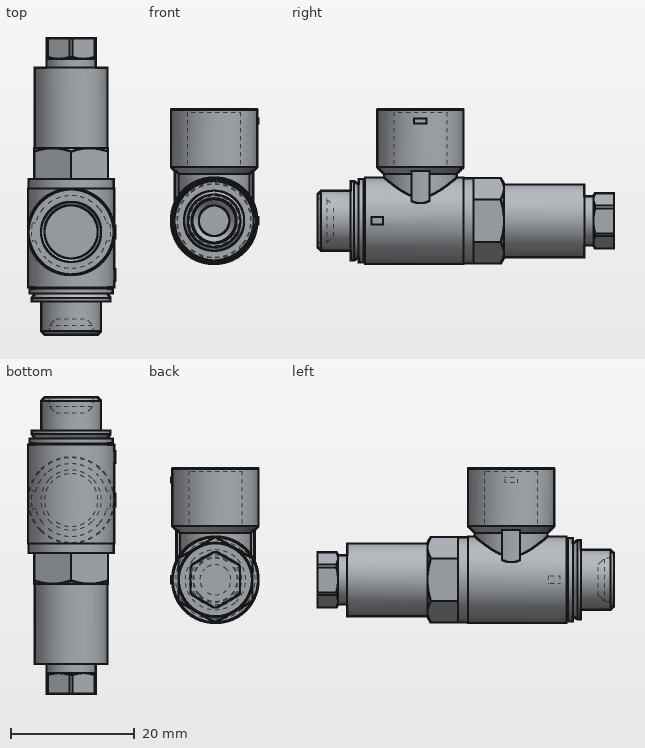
import cadquery as cq
import math

total_length = 47.95
front_end = -16.65
back_end = front_end + total_length

body_diameter = 14.0
collar_diameter = 13.8
washer_diameter = 13.5
flange_diameter = 12.8
groove_diameter = 11.8
spigot_diameter = 9.75
barrel_diameter = 11.8
neck_diameter = 8.0

flange_front = front_end + 5.35
flange_cone_start = flange_front + 0.58
washer_front = front_end + 6.65
washer_back = front_end + 7.5
body_front = front_end + 7.65
body_back = body_diameter / 2
collar_back = body_back + 1.6
large_hex_back = collar_back + 4.95
barrel_back = back_end - 4.8
small_hex_front = back_end - 3.35
spigot_chamfer = 0.6

large_hex_flats = 12.0
small_hex_flats = 8.0
small_hex_corner_diameter = 8.95
hex_chamfer_angle = 30.0

bore_diameter = 7.0
bore_floor_diameter = 4.95
bore_edge_chamfer = 0.15
bore_straight_depth = 1.55
bore_depth = 2.6

branch_diameter = 14.0
branch_top = 18.1
branch_shoulder = 8.7
branch_neck_diameter = 11.8
branch_cone_bottom = branch_shoulder - (branch_diameter - branch_neck_diameter) / 2
branch_edge_chamfer = 0.15
socket_diameter = 8.6
socket_mouth_diameter = 9.75
socket_floor = branch_shoulder

rib_diameter = 12.8
rib_width = 2.92

pad_height = 0.2
branch_pad_width = 2.05
branch_pad_height = 0.85
branch_pad_z = 16.1
body_pad_length = 1.9
body_pad_height = 1.25
body_pad_y = -6.95


def rod(diameter, start, end):
    """Cylinder on the Y axis between two Y positions."""
    plane = cq.Workplane("XZ", origin=(0, start, 0))
    return plane.circle(diameter / 2).extrude(start - end)


def post(diameter, bottom, top):
    """Cylinder on the Z axis between two Z positions."""
    return cq.Workplane("XY").workplane(offset=bottom).circle(diameter / 2).extrude(top - bottom)


def turned(points):
    """Solid of revolution about Y from (radius, y) points."""
    return cq.Workplane("XY").polyline(points).close().revolve(360, (0, 0, 0), (0, 1, 0))


def hexagon(flats, start, end):
    """Hexagonal bar along Y with two flats facing +X and -X."""
    corner_diameter = flats / math.cos(math.radians(30))
    bar = cq.Workplane("XZ", origin=(0, start, 0)).polygon(6, corner_diameter).extrude(start - end)
    return bar.rotate((0, 0, 0), (0, 1, 0), 30)


def corner_limit(flats, corner_diameter, plain_end, chamfered_end):
    """Turned envelope that bevels the hexagon corners at one end."""
    flat_radius = flats / 2
    corner_radius = corner_diameter / 2
    bevel = (corner_radius - flat_radius) * math.tan(math.radians(hex_chamfer_angle))
    bevel_start = chamfered_end - math.copysign(bevel, chamfered_end - plain_end)
    return turned([
        (0, plain_end),
        (corner_radius, plain_end),
        (corner_radius, bevel_start),
        (flat_radius, chamfered_end),
        (0, chamfered_end),
    ])


def make_run():
    spigot = rod(spigot_diameter, front_end, flange_front).faces("<Y").chamfer(spigot_chamfer)
    flange = turned([
        (0, flange_front),
        (flange_diameter / 2, flange_front),
        (flange_diameter / 2, flange_cone_start),
        (groove_diameter / 2, washer_front),
        (0, washer_front),
    ])
    run = spigot.union(flange)
    run = run.union(rod(washer_diameter, washer_front, washer_back))
    run = run.union(rod(groove_diameter, washer_back, body_front))
    run = run.union(rod(body_diameter, body_front, body_back))
    run = run.union(rod(collar_diameter, body_back, collar_back))
    run = run.union(rod(barrel_diameter, collar_back, barrel_back))
    return run.union(rod(neck_diameter, barrel_back, small_hex_front))


def make_large_hex():
    corner_diameter = large_hex_flats / math.cos(math.radians(30))
    limit = corner_limit(large_hex_flats, corner_diameter, collar_back, large_hex_back)
    return hexagon(large_hex_flats, collar_back, large_hex_back).intersect(limit)


def make_small_hex():
    limit = corner_limit(small_hex_flats, small_hex_corner_diameter, back_end, small_hex_front)
    return hexagon(small_hex_flats, small_hex_front, back_end).intersect(limit)


def make_branch():
    head = post(branch_diameter, branch_shoulder, branch_top).faces(">Z").chamfer(branch_edge_chamfer)
    cone = (
        cq.Workplane("XY").workplane(offset=branch_cone_bottom).circle(branch_neck_diameter / 2)
        .workplane(offset=branch_shoulder - branch_cone_bottom).circle(branch_diameter / 2).loft()
    )
    neck = post(branch_neck_diameter, 0, branch_cone_bottom)
    rib_slab = cq.Workplane("XY").box(rib_diameter, rib_width, 2 * branch_shoulder)
    ribs = post(rib_diameter, 0, branch_shoulder).intersect(rib_slab)
    return head.union(cone).union(neck).union(ribs)


def make_socket():
    bore = post(socket_diameter, socket_floor, branch_top)
    mouth_depth = (socket_mouth_diameter - socket_diameter) / 2
    mouth = (
        cq.Workplane("XY").workplane(offset=branch_top).circle(socket_mouth_diameter / 2)
        .workplane(offset=-mouth_depth).circle(socket_diameter / 2).loft()
    )
    return bore.union(mouth)


def make_spigot_bore():
    return turned([
        (0, front_end),
        (bore_diameter / 2 + bore_edge_chamfer, front_end),
        (bore_diameter / 2, front_end + bore_edge_chamfer),
        (bore_diameter / 2, front_end + bore_straight_depth),
        (bore_floor_diameter / 2, front_end + bore_depth),
        (0, front_end + bore_depth),
    ])


def make_pad(y, z, length, height):
    """Small block standing proud of the +X side of a round surface."""
    outer = body_diameter / 2 + pad_height
    root = body_diameter / 2 - pad_height
    block = cq.Workplane("XY").box(outer - root, length, height)
    return block.translate(((outer + root) / 2, y, z))


result = make_run().union(make_large_hex()).union(make_small_hex()).union(make_branch())
result = result.union(make_pad(0, branch_pad_z, branch_pad_width, branch_pad_height))
result = result.union(make_pad(body_pad_y, 0, body_pad_length, body_pad_height))
result = result.cut(make_socket()).cut(make_spigot_bore())